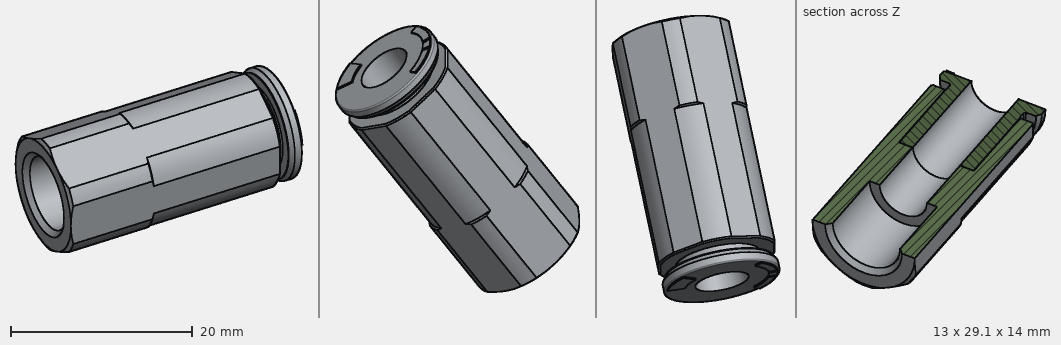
import cadquery as cq
import math

total_length = 29.05
tube_radius = 3.0

hex_sides = 6
across_flats = 13.0
front_corner_radius = 7.0
rear_corner_radius = 6.77
front_section_end = 10.17
section_step_length = 0.17
housing_length = 26.2
front_chamfer_radius = across_flats / 2
front_chamfer_length = 0.3
rear_chamfer = 0.17
thread_bore_radius = 4.27
thread_mouth_radius = 4.88
thread_bore_depth = 8.72

collar_radius = 4.7
collar_seat_depth = 10.17
collar_shoulder_radius = 4.88
collar_shoulder_length = 0.17
flange_radius = across_flats / 2
flange_thickness = 1.6
flange_rear_fillet = 0.17
flange_front_land = 0.1
flange_front_chamfer_length = 0.55
flange_front_chamfer_depth = 0.38

pad_height = 0.17
pad_outer_radius = 6.22
left_pad_inner_radius = 5.25
right_pad_inner_radius = 4.2
left_pad_angles = [(135, 173), (176, 189), (192, 227)]
right_pad_angles = (8, 45)

flange_rear = total_length - pad_height
flange_front = flange_rear - flange_thickness
collar_seat = housing_length - collar_seat_depth


def revolved(profile):
    """Turn a closed (radius, y) outline about the Y axis."""
    return cq.Workplane("XY").polyline(profile).close().revolve(360, (0, 0, 0), (0, 1, 0))


def make_housing():
    """Hexagonal sleeve with turned corners, a thread bore in front and a collar seat behind."""
    turned = revolved([
        (0, 0),
        (front_chamfer_radius, 0),
        (front_corner_radius, front_chamfer_length),
        (front_corner_radius, front_section_end),
        (rear_corner_radius, front_section_end + section_step_length),
        (rear_corner_radius, housing_length),
        (0, housing_length),
    ])
    hexagon = (
        cq.Workplane("XZ")
        .transformed(rotate=(0, 0, 180 / hex_sides))
        .polygon(hex_sides, across_flats / math.cos(math.pi / hex_sides))
        .extrude(-housing_length)
    )
    mouth_chamfer = thread_mouth_radius - thread_bore_radius
    bore = revolved([
        (0, 0),
        (thread_mouth_radius, 0),
        (thread_bore_radius, mouth_chamfer),
        (thread_bore_radius, thread_bore_depth),
        (tube_radius, thread_bore_depth),
        (tube_radius, collar_seat),
        (collar_radius, collar_seat),
        (collar_radius, housing_length),
        (0, housing_length),
    ])
    return turned.intersect(hexagon).faces(">Y").chamfer(rear_chamfer).cut(bore)


def make_collar():
    """Flanged sleeve that sits in the rear of the housing."""
    land_radius = flange_radius - flange_front_chamfer_depth
    chamfer_start = flange_front + flange_front_land
    sleeve = revolved([
        (tube_radius, collar_seat),
        (collar_radius, collar_seat),
        (collar_radius, flange_front - collar_shoulder_length),
        (collar_shoulder_radius, flange_front),
        (land_radius, flange_front),
        (land_radius, chamfer_start),
        (flange_radius, chamfer_start + flange_front_chamfer_length),
        (flange_radius, flange_rear),
        (tube_radius, flange_rear),
    ])
    flange_rim = cq.selectors.RadiusNthSelector(-1)
    return sleeve.faces(">Y").edges(flange_rim).fillet(flange_rear_fillet)


def make_pad(inner_radius, start_angle, end_angle):
    """Ring segment standing on the rear face of the flange."""
    def place(radius, angle):
        return (radius * math.cos(math.radians(angle)), radius * math.sin(math.radians(angle)))

    middle_angle = (start_angle + end_angle) / 2
    return (
        cq.Workplane("XZ", origin=(0, flange_rear, 0))
        .moveTo(*place(inner_radius, start_angle))
        .lineTo(*place(pad_outer_radius, start_angle))
        .threePointArc(place(pad_outer_radius, middle_angle), place(pad_outer_radius, end_angle))
        .lineTo(*place(inner_radius, end_angle))
        .threePointArc(place(inner_radius, middle_angle), place(inner_radius, start_angle))
        .close()
        .extrude(-pad_height)
    )


housing = make_housing()
collar = make_collar()
pads = [make_pad(left_pad_inner_radius, start, end) for start, end in left_pad_angles]
pads.append(make_pad(right_pad_inner_radius, *right_pad_angles))

result = cq.Compound.makeCompound([
    housing.solids().val(),
    collar.solids().val(),
    *[pad.val() for pad in pads],
])